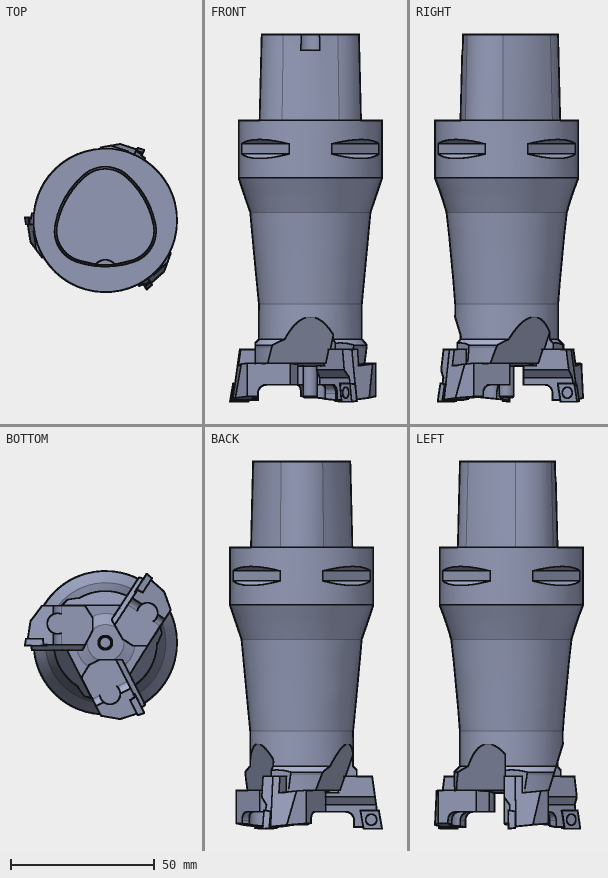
import cadquery as cq
import math

station_angles = (180, 63, -57)
oversize = 76.8

top_z = 128.0
flange_top_z = 98.0
flange_bottom_z = 78.0
neck_top_z = 66.0
neck_bottom_z = 34.2
collar_top_z = 21.8
collar_edge_height = 0.6
collar_bottom_z = 13.5
boss_bottom_z = 12.4
flange_radius = 50.0 / 2
neck_top_radius = 42.0 / 2
neck_bottom_radius = 36.0 / 2
collar_radius = 20.0
collar_bottom_radius = 19.7
collar_chamfer_bottom_z = collar_top_z - (collar_radius - neck_bottom_radius)
boss_top_radius = 10.2
boss_bottom_radius = 6.4

shank_lobe_angles = (90, 210, 330)
shank_lobe_half_span = 25.5
shank_crest_radius = 18.7
shank_joint_radius = 17.5
shank_side_radius = 16.1
shank_taper = 1 / 20
shank_notch_radius = 4.1
shank_notch_depth = 5.5
shank_notch_center_y = -17.8

groove_angles = (45, 135, 225, 315)
groove_floor_distance = 22.1
groove_center_z = 88.0
groove_floor_height = 3.5
groove_flank_rise = 0.55

pin_radius = 5.0 / 2
pin_bottom_z = 1.4
pin_chamfer = 0.5
pocket_floor_distance = 13.0
pocket_tilt = 17.0
pocket_floor_angles = (153, 32, -90)
pocket_wall_y = -2.0
seat_flat_distance = 19.2
seat_flat_half_width = 7.7

rake_y = -2.5
back_y = 12.9
block_back_y = 3.8
block_top_z = 18.3
block_inner_x = 12.8
nose_x = 4.4
nose_front_y = 4.4
nose_back_y = 8.6
nose_front_x = 8.0
nose_rear_x = 7.0
back_outer_x = 22.0
outer_corner_x = 28.2
outer_corner_y = 4.7
ledge_front_z = 12.5
outer_top_x = 24.6
outer_bottom_x = 27.1
outer_relief_y = 1.3
outer_relief_angle = 8.0
foot_inner_x = 18.2
gullet_z = 5.9
gullet_radius = 2.8
scallop_center_x = 16.6
scallop_center_y = 6.7
scallop_radius = 3.6
foot_front_z = 0.4
foot_back_z = 1.9
step_top_z = 11.1
step_bottom_z = 8.5
step_y = -0.6

insert_tip_x = 28.0
insert_height = 6.4
insert_thickness = 2.4
insert_face_y = -1.0
insert_corner_angle = 80.0
insert_lean = insert_height / math.tan(math.radians(insert_corner_angle))
insert_side = insert_height / math.sin(math.radians(insert_corner_angle))
insert_clearance = 7.0
insert_stud_diameter = 3.8


def to_station(part, angle):
    return part.rotate((0, 0, 0), (0, 0, 1), angle)


def side_prism(points, x_start, x_end):
    """Prism along X from an outline of (y, z) points."""
    return cq.Workplane("YZ", origin=(x_start, 0, 0)).polyline(points).close().extrude(x_end - x_start)


def cross_prism(points, y_start, y_end):
    """Prism along Y from an outline of (x, z) points."""
    return cq.Workplane("XZ", origin=(0, y_end, 0)).polyline(points).close().extrude(y_end - y_start)


def block(x_range, y_range, z_range):
    size = [end - start for start, end in (x_range, y_range, z_range)]
    corner = (x_range[0], y_range[0], z_range[0])
    return cq.Workplane("XY").box(*size, centered=False).translate(corner)


def polar_point(radius, angle, z):
    radians = math.radians(angle)
    return cq.Vector(radius * math.cos(radians), radius * math.sin(radians), z)


def shank_outline(z):
    """Closed outline of three lobe arcs and three flatter side arcs, smaller toward the top."""
    inset = (z - flange_top_z) * shank_taper / 2
    crest_radius = shank_crest_radius - inset
    joint_radius = shank_joint_radius - inset
    side_radius = shank_side_radius - inset
    arcs = []
    for crest in shank_lobe_angles:
        lobe_start = polar_point(joint_radius, crest - shank_lobe_half_span, z)
        lobe_end = polar_point(joint_radius, crest + shank_lobe_half_span, z)
        next_lobe_start = polar_point(joint_radius, crest + 120 - shank_lobe_half_span, z)
        crest_point = polar_point(crest_radius, crest, z)
        side_point = polar_point(side_radius, crest + 60, z)
        arcs.append(cq.Edge.makeThreePointArc(lobe_start, crest_point, lobe_end))
        arcs.append(cq.Edge.makeThreePointArc(lobe_end, side_point, next_lobe_start))
    return cq.Wire.assembleEdges(arcs)


def make_shank():
    outlines = [shank_outline(flange_top_z), shank_outline(top_z)]
    shank = cq.Workplane(cq.Solid.makeLoft(outlines, True))
    notch = (
        cq.Workplane("XY", origin=(0, shank_notch_center_y, top_z))
        .circle(shank_notch_radius)
        .extrude(-shank_notch_depth)
    )
    return shank.cut(notch)


def make_turned_body():
    profile = [
        (0, flange_top_z),
        (flange_radius, flange_top_z),
        (flange_radius, flange_bottom_z),
        (neck_top_radius, neck_top_z),
        (neck_bottom_radius, neck_bottom_z),
        (neck_bottom_radius, collar_top_z),
        (collar_radius, collar_chamfer_bottom_z),
        (collar_radius, collar_chamfer_bottom_z - collar_edge_height),
        (collar_bottom_radius, boss_bottom_z),
        (pin_radius, boss_bottom_z),
        (pin_radius, pin_bottom_z + pin_chamfer),
        (pin_radius - pin_chamfer, pin_bottom_z),
        (0, pin_bottom_z),
    ]
    return cq.Workplane("XZ").polyline(profile).close().revolve(360, (0, 0, 0), (0, 1, 0))


def make_groove():
    """Straight groove with sloped flanks, cut across the flange on its +X side."""
    depth = flange_radius - groove_floor_distance
    inner_half = groove_floor_height / 2
    outer_half = inner_half + groove_flank_rise * depth
    outline = [
        (groove_floor_distance, groove_center_z - inner_half),
        (flange_radius, groove_center_z - outer_half),
        (flange_radius, groove_center_z + outer_half),
        (groove_floor_distance, groove_center_z + inner_half),
    ]
    return cross_prism(outline, -flange_radius, flange_radius)


def make_chip_pocket(station_angle, floor_angle):
    """Tilted floor, closed on the slide side by an upright wall."""
    hinge = (pocket_floor_distance, 0, collar_bottom_z)
    hinge_end = (pocket_floor_distance, 1, collar_bottom_z)
    beyond_floor = block(
        (pocket_floor_distance, oversize), (-oversize, oversize), (-oversize, oversize)
    ).rotate(hinge, hinge_end, pocket_tilt)
    before_wall = block((0, oversize), (-oversize, pocket_wall_y), (0, neck_bottom_z))
    return to_station(beyond_floor, floor_angle).intersect(to_station(before_wall, station_angle))


def make_seat_flat():
    return block(
        (seat_flat_distance, flange_radius),
        (-seat_flat_half_width, seat_flat_half_width),
        (0, collar_top_z),
    )


def make_underside_relief():
    """Space around the central boss, less the sloped pads that rest on the slide ledges."""
    ring = [
        (boss_bottom_radius, boss_bottom_z),
        (boss_top_radius, collar_bottom_z),
        (flange_radius, collar_bottom_z),
        (flange_radius, boss_bottom_z),
    ]
    pad = [
        (block_back_y, collar_bottom_z),
        (back_y, collar_bottom_z),
        (block_back_y, ledge_front_z),
    ]
    relief = cq.Workplane("XZ").polyline(ring).close().revolve(360, (0, 0, 0), (0, 1, 0))
    for angle in station_angles:
        relief = relief.cut(to_station(side_prism(pad, nose_rear_x, flange_radius), angle))
    return relief


def make_stud():
    center_x = insert_tip_x - (insert_lean + insert_side) / 2
    stud = cq.Workplane("XZ", origin=(center_x, insert_face_y, insert_height / 2))
    return stud.circle(insert_stud_diameter / 2).extrude(-insert_thickness)


def make_insert():
    outline = [
        (insert_tip_x, 0),
        (insert_tip_x - insert_lean, insert_height),
        (insert_tip_x - insert_lean - insert_side, insert_height),
        (insert_tip_x - insert_side, 0),
    ]
    back_inset = insert_thickness * math.tan(math.radians(insert_clearance))
    face = cq.Workplane("XZ", origin=(0, insert_face_y, 0)).polyline(outline).close()
    back = (
        cq.Workplane("XZ", origin=(0, insert_face_y + insert_thickness, 0))
        .polyline(outline)
        .close()
        .offset2D(-back_inset)
    )
    plate = cq.Workplane(cq.Solid.makeLoft([face.val(), back.val()], True))
    return plate.cut(make_stud())


def make_outer_relief(y_start):
    """Region outside the sloped outer face, from y_start rearward."""
    outline = [
        (outer_top_x, block_top_z),
        (outer_bottom_x, 0),
        (oversize, 0),
        (oversize, block_top_z),
    ]
    return cross_prism(outline, y_start, oversize)


def make_slide(insert):
    plan = [
        (nose_front_x, rake_y),
        (nose_x, nose_front_y),
        (nose_x, nose_back_y),
        (nose_rear_x, back_y),
        (back_outer_x, back_y),
        (outer_corner_x, outer_corner_y),
        (outer_corner_x, rake_y),
    ]
    slide = cq.Workplane("XY").polyline(plan).close().extrude(block_top_z)

    above_ledge = [
        (block_back_y, ledge_front_z),
        (back_y, collar_bottom_z),
        (back_y, block_top_z),
        (block_back_y, block_top_z),
    ]
    slide = slide.cut(side_prism(above_ledge, 0, oversize))
    slide = slide.cut(block((0, block_inner_x), (rake_y, block_back_y), (ledge_front_z, block_top_z)))

    gullet = block((0, foot_inner_x), (rake_y, back_y), (-gullet_z, gullet_z))
    slide = slide.cut(gullet.edges(">X and >Z").fillet(gullet_radius))

    scallop = cq.Workplane("XY").center(scallop_center_x, scallop_center_y).circle(scallop_radius)
    slide = slide.cut(scallop.extrude(gullet_z))

    below_foot = [(rake_y, 0), (rake_y, foot_front_z), (back_y, foot_back_z), (back_y, 0)]
    slide = slide.cut(side_prism(below_foot, 0, oversize))

    before_step = [
        (rake_y, step_top_z),
        (step_y, step_bottom_z),
        (step_y, 0),
        (rake_y, 0),
    ]
    slide = slide.cut(side_prism(before_step, 0, oversize))

    slide = slide.cut(make_outer_relief(rake_y))
    turn_axis = ((outer_top_x, outer_relief_y, 0), (outer_top_x, outer_relief_y, 1))
    slide = slide.cut(make_outer_relief(outer_relief_y).rotate(*turn_axis, outer_relief_angle))
    return slide.union(make_stud()).cut(insert)


def make_holder(slides):
    holder = make_turned_body().union(make_shank())
    for angle in groove_angles:
        holder = holder.cut(to_station(make_groove(), angle))
    holder = holder.cut(make_underside_relief())
    for station_angle, floor_angle in zip(station_angles, pocket_floor_angles):
        holder = holder.cut(make_chip_pocket(station_angle, floor_angle))
        holder = holder.cut(to_station(make_seat_flat(), station_angle))
    for slide in slides:
        holder = holder.cut(slide)
    return holder


insert = make_insert()
slide = make_slide(insert)
inserts = [to_station(insert, angle) for angle in station_angles]
slides = [to_station(slide, angle) for angle in station_angles]
holder = make_holder(slides)

result = cq.Compound.makeCompound(
    [holder.val(), *[part.val() for part in slides], *[part.val() for part in inserts]]
)